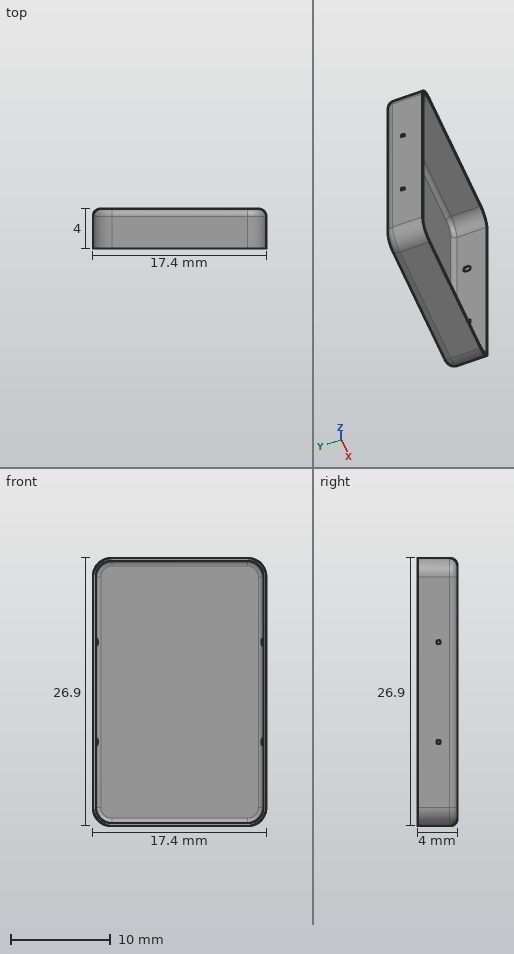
import cadquery as cq
width = 17.4
depth = 4.0
height = 26.9

wall = 0.3
corner_radius = 1.9
floor_edge_radius = 0.8

detent_spacing = 10.0
detent_y = 2.1
dimple_radius = 0.2
dome_radius = dimple_radius + wall


def rounded_block(inset):
    """Block set in from the outer skin, starting at y = 0, with rounded corners and floor edge."""
    block_depth = depth - inset
    return (
        cq.Workplane("XY")
        .box(width - 2 * inset, block_depth, height - 2 * inset)
        .translate((0, block_depth / 2, 0))
        .edges("|Y")
        .fillet(corner_radius - inset)
        .faces(">Y")
        .edges()
        .fillet(floor_edge_radius - inset)
    )


def detent_spheres(radius):
    """One sphere per detent, centred on the outer faces of the long walls."""
    sphere = cq.Workplane("YZ").sphere(radius)
    spheres = cq.Workplane("XY")
    for x in (-width / 2, width / 2):
        for z in (-detent_spacing / 2, detent_spacing / 2):
            spheres = spheres.add(sphere.translate((x, detent_y, z)))
    return spheres.combine()


cavity = rounded_block(wall).cut(detent_spheres(dome_radius))
result = rounded_block(0).cut(cavity).cut(detent_spheres(dimple_radius))